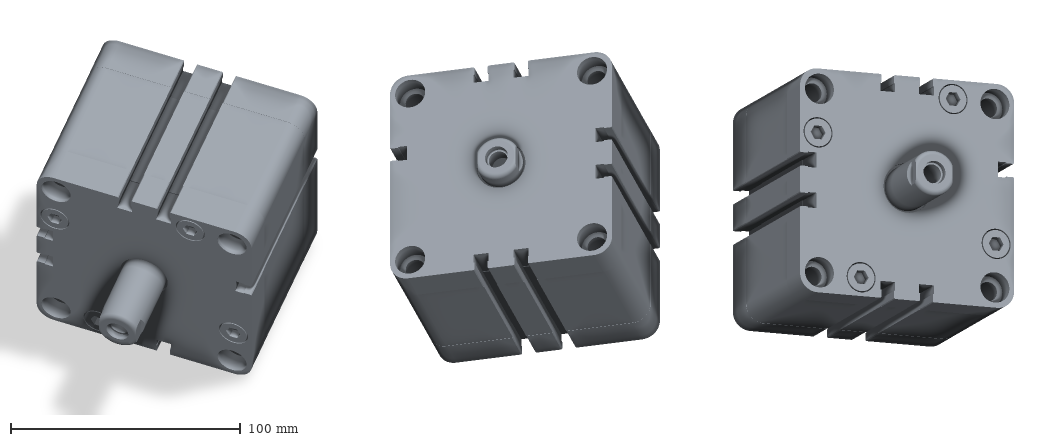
import cadquery as cq
import math

body_side = 100.0
body_half = body_side / 2
tube_inset = 0.1
total_length = 122.0
rod_front_length = 33.0
rod_rear_length = 8.0
cap_length = 15.9
cap_corner_radius = 8.0
tube_corner_radius = 7.7

front_end = -total_length / 2
rear_end = total_length / 2
body_front = front_end + rod_front_length
body_rear = rear_end - rod_rear_length
tube_front = body_front + cap_length
tube_rear = body_rear - cap_length
body_length = body_rear - body_front
tube_length = tube_rear - tube_front

slot_mouth_width = 6.0
slot_inner_width = 6.8
slot_lip_depth = 3.7
tube_slot_depth = 7.2
cap_slot_depth = 7.6
slot_mouth_chamfer = 0.4
slot_offset = 9.0
single_slot_offset = 12.0

mount_offset = 41.0
mount_hole_diameter = 8.5
mount_counterbore_diameter = 13.5
mount_counterbore_depth = 8.5

screw_edge_offset = 41.6
screw_side_offset = 21.5
screw_pocket_diameter = 13.5
screw_pocket_depth = 6.1
screw_head_diameter = 12.5
screw_socket_flats = 6.0
screw_socket_depth = 4.0

rod_diameter = 20.0
rod_end_radius = 2.0
rod_flat_width = 17.1
rod_flat_length = 6.0
rod_bore_diameter = 22.0
rod_bore_depth = 1.2
thread_diameter = 8.4
thread_counterbore_diameter = 10.2
thread_counterbore_depth = 3.0
thread_depth = 19.5
drill_tip_angle = 118.0


def cylinder(x, z, y_start, length, diameter):
    """Solid cylinder along +Y starting at y_start."""
    return cq.Workplane("XZ", origin=(x, y_start, z)).circle(diameter / 2).extrude(-length)


def block(side, y_start, length, corner_radius):
    """Square block with rounded long edges."""
    plane = cq.Workplane("XZ", origin=(0, y_start, 0))
    return plane.rect(side, side).extrude(-length).edges("|Y").fillet(corner_radius)


def slot_cutter(offset, angle, y_start, length, depth, mouth_chamfer):
    """T-slot along Y in the +Z side at x = offset, turned by angle about the Y axis."""
    mouth = slot_mouth_width / 2
    inner = slot_inner_width / 2
    lip = body_half - slot_lip_depth
    floor = body_half - depth
    right_side = [(inner, floor), (inner, lip), (mouth, lip), (mouth, body_half - mouth_chamfer)]
    if mouth_chamfer > 0:
        right_side.append((mouth + mouth_chamfer, body_half))
    left_side = [(-x, z) for x, z in reversed(right_side)]
    outline = [(offset + x, z) for x, z in right_side + left_side]
    cutter = cq.Workplane("XZ", origin=(0, y_start, 0)).polyline(outline).close().extrude(-length)
    return cutter.rotate((0, 0, 0), (0, 1, 0), angle)


def cut_slots(solid, y_start, length, depth, top_bottom_chamfer):
    """Two slots on the top, bottom and -X side, one slot on the +X side.

    The side slots always have chamfered mouths; the top and bottom ones use the given chamfer.
    """
    for offset in (-slot_offset, slot_offset):
        for angle in (0, 180):
            solid = solid.cut(slot_cutter(offset, angle, y_start, length, depth, top_bottom_chamfer))
        solid = solid.cut(slot_cutter(offset, -90, y_start, length, depth, slot_mouth_chamfer))
    return solid.cut(slot_cutter(-single_slot_offset, 90, y_start, length, depth, slot_mouth_chamfer))


def make_body():
    """Slotted tube, set in slightly from the end caps, joined to both caps."""
    tube = block(body_side - 2 * tube_inset, tube_front, tube_length, tube_corner_radius)
    body = cut_slots(tube, tube_front, tube_length, tube_slot_depth, 0)
    for y_start in (body_front, tube_rear):
        cap = block(body_side, y_start, cap_length, cap_corner_radius)
        body = body.union(cut_slots(cap, y_start, cap_length, cap_slot_depth, slot_mouth_chamfer))
    return body


def cut_mount_holes(body):
    """Through holes in the four corners, counterbored in both end faces."""
    for x in (-mount_offset, mount_offset):
        for z in (-mount_offset, mount_offset):
            body = body.cut(cylinder(x, z, body_front, body_length, mount_hole_diameter))
            for y_start in (body_front, body_rear - mount_counterbore_depth):
                counterbore = cylinder(x, z, y_start, mount_counterbore_depth, mount_counterbore_diameter)
                body = body.cut(counterbore)
    return body


def add_screws(body):
    """Flush socket head screws, each standing in a slightly wider pocket of the front cap."""
    positions = [
        (screw_side_offset, screw_edge_offset),
        (screw_edge_offset, -screw_side_offset),
        (-screw_side_offset, -screw_edge_offset),
        (-screw_edge_offset, screw_side_offset),
    ]
    socket_diameter = screw_socket_flats / math.cos(math.radians(30))
    for x, z in positions:
        pocket = cylinder(x, z, body_front, screw_pocket_depth, screw_pocket_diameter)
        head = cylinder(x, z, body_front, screw_pocket_depth, screw_head_diameter)
        face = cq.Workplane("XZ", origin=(x, body_front, z))
        socket = face.polygon(6, socket_diameter).extrude(-screw_socket_depth)
        body = body.cut(pocket.cut(head)).cut(socket)
    return body


def rod_flat_cutter():
    """Removes material beside both flats of the front rod end, with 45 degree run-outs."""
    flat = rod_flat_width / 2
    outside = rod_diameter
    flat_end = front_end + rod_flat_length
    outline = [
        (flat, front_end),
        (flat, flat_end),
        (outside, flat_end + outside - flat),
        (outside, front_end),
    ]
    side = cq.Workplane("XY").polyline(outline).close().extrude(rod_diameter, both=True)
    return side.union(side.mirror("YZ"))


def thread_hole_cutter():
    """Blind tapped hole in the front rod end with a counterbored mouth and a drill tip."""
    radius = thread_diameter / 2
    counterbore_radius = thread_counterbore_diameter / 2
    step = front_end + thread_counterbore_depth
    bottom = front_end + thread_depth
    tip = bottom + radius / math.tan(math.radians(drill_tip_angle / 2))
    outline = [
        (0, front_end),
        (counterbore_radius, front_end),
        (counterbore_radius, step),
        (radius, step),
        (radius, bottom),
        (0, tip),
    ]
    return cq.Workplane("XY").polyline(outline).close().revolve(360, (0, 0, 0), (0, 1, 0))


def make_rod():
    """Through rod with rounded ends, the same flats and tapped hole at each end."""
    rod = cylinder(0, 0, front_end, total_length, rod_diameter)
    rod = rod.faces("<Y or >Y").edges().fillet(rod_end_radius)
    end_cut = rod_flat_cutter().union(thread_hole_cutter())
    return rod.cut(end_cut).cut(end_cut.mirror("XZ"))


def cut_rod_bores(body):
    """Shallow clearance rings around the rod in both end faces."""
    for y_start in (body_front, body_rear - rod_bore_depth):
        body = body.cut(cylinder(0, 0, y_start, rod_bore_depth, rod_bore_diameter))
    return body


body = cut_rod_bores(add_screws(cut_mount_holes(make_body())))
result = body.union(make_rod())